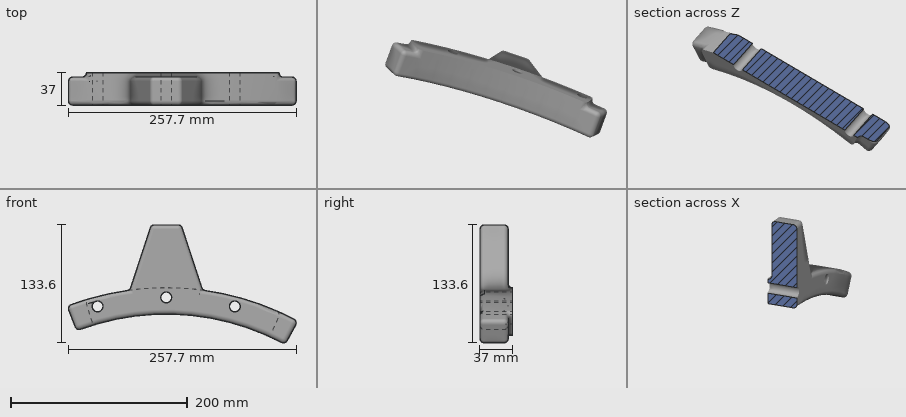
import cadquery as cq
import math


BODY_DEPTH = 32.0
PAD_HEIGHT = 5.0
TOTAL_DEPTH = BODY_DEPTH + PAD_HEIGHT

INNER_RADIUS = 281.0
OUTER_RADIUS = 311.0
MEAN_RADIUS = (INNER_RADIUS + OUTER_RADIUS) / 2
LEFT_END_ANGLE = -21.13
RIGHT_END_ANGLE = 28.6
PAD_END_SETBACK = 4.0

TOWER_TOP = 382.06
TOWER_TOP_WIDTH = 34.0
TOWER_TAPER_ANGLE = 18.2

HOLE_DIAMETER = 12.0
HOLE_CIRCLE_RADIUS = 300.0
HOLE_ANGLES = (-15.0, 0.0, 15.0)

EDGE_RADIUS = 5.0
SEAM_RADIUS = EDGE_RADIUS - 0.05

TOUCH_TOLERANCE = 0.001


def polar(radius, angle):
    """X and Z of the point at a radius and an angle."""
    turn = math.radians(angle)
    return radius * math.sin(turn), radius * math.cos(turn)


def extrude_back(profile, start, end):
    """Extrude an XZ profile from Y = start to Y = end."""
    return profile.extrude(start - end).translate((0, start, 0))


def arc_slab(left_angle, right_angle, start, end):
    """Sharp-edged piece of the arc with radial ends."""
    middle = (left_angle + right_angle) / 2
    profile = (
        cq.Workplane("XZ")
        .moveTo(*polar(INNER_RADIUS, left_angle))
        .threePointArc(polar(INNER_RADIUS, middle), polar(INNER_RADIUS, right_angle))
        .lineTo(*polar(OUTER_RADIUS, right_angle))
        .threePointArc(polar(OUTER_RADIUS, middle), polar(OUTER_RADIUS, left_angle))
        .close()
    )
    return extrude_back(profile, start, end)


def make_band():
    """Arc band, rounded on every edge."""
    return arc_slab(LEFT_END_ANGLE, RIGHT_END_ANGLE, 0, BODY_DEPTH).edges().fillet(EDGE_RADIUS)


def make_pad():
    """Pad on the back, rounded at its four corners and rooted at the band's mid-depth."""
    left_angle = LEFT_END_ANGLE + PAD_END_SETBACK
    right_angle = RIGHT_END_ANGLE - PAD_END_SETBACK
    slab = arc_slab(left_angle, right_angle, BODY_DEPTH / 2, TOTAL_DEPTH)
    return slab.edges("|Y").fillet(SEAM_RADIUS)


def make_tower():
    """Tapered tower, rounded on every edge but those of its root inside the band."""
    root = MEAN_RADIUS
    half_top = TOWER_TOP_WIDTH / 2
    half_root = half_top + (TOWER_TOP - root) * math.tan(math.radians(TOWER_TAPER_ANGLE))
    profile = (
        cq.Workplane("XZ")
        .moveTo(-half_root, root)
        .lineTo(half_root, root)
        .lineTo(half_top, TOWER_TOP)
        .lineTo(-half_top, TOWER_TOP)
        .close()
    )
    return extrude_back(profile, 0, BODY_DEPTH).edges("not <Z").fillet(EDGE_RADIUS)


def seam_edges(joined, first, second):
    """Edges of the joined solid that lie on both of the given parts."""
    seams = []
    for edge in joined.edges().vals():
        middle = cq.Vertex.makeVertex(*edge.positionAt(0.5).toTuple())
        gaps = [part.val().distance(middle) for part in (first, second)]
        if max(gaps) < TOUCH_TOLERANCE:
            seams.append(edge)
    return seams


def make_hole(angle):
    """Through-hole cutter on the hole circle."""
    profile = cq.Workplane("XZ").center(*polar(HOLE_CIRCLE_RADIUS, angle)).circle(HOLE_DIAMETER / 2)
    return extrude_back(profile, 0, TOTAL_DEPTH)


band = make_band()
pad = make_pad()
tower = make_tower()

arc = band.union(pad)
blank = band.union(tower).union(pad).clean()
seams = seam_edges(blank, band, pad) + seam_edges(blank, arc, tower)
result = blank.newObject(seams).fillet(SEAM_RADIUS)

for hole_angle in HOLE_ANGLES:
    result = result.cut(make_hole(hole_angle))